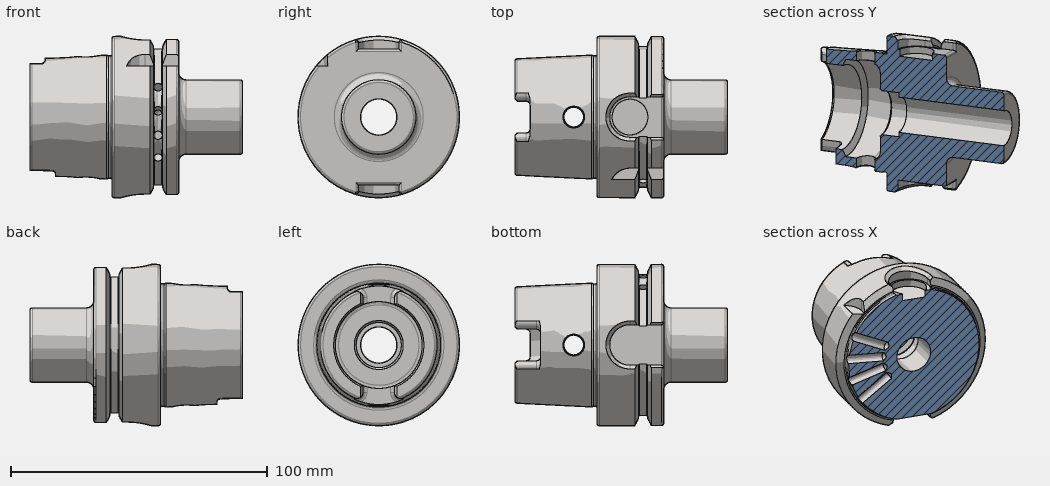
import cadquery as cq
import math

taper_end_x = 30.0
relief_start_x = 30.6
face_x = 32.0
collar_end_x = 58.1
total_length = 83.0

taper_end_radius = 24.195
taper_slope = 1 / 20
shank_radius = taper_end_radius - taper_slope * taper_end_x
relief_radius = 23.9
relief_fillet = 0.7
relief_face_depth = 0.2
relief_face_radius = 25.4
collar_radius = 31.5
neck_radius = 14.5
neck_fillet = 2.8
edge_round = 1.0

groove_x = 50.01
groove_width = 3.5
groove_radius = 27.55
groove_mouth_width = 6.5
groove_flank_radius = 28.6
groove_corner = 0.4

bore_radius = 16.9
bore_chamfer = 0.7
bore_chamfer_length = 1.0
shoulder_x = 12.95
undercut_radius = 19.6
undercut_step_length = 1.5
bore_floor_x = 29.2
bore_floor_fillet = 3.9
counterbore_radius = 8.8
counterbore_chamfer = 0.75
counterbore_end_x = 37.35
through_radius = 7.01

shank_hole_x = 23.0
shank_hole_radius = 3.8
shank_hole_chamfer = 0.4

drive_slot_half_width = 6.15
drive_slot_flare = 2.3
drive_slot_corner = 1.5
drive_slot_lead = 1.0
top_drive_slot_depth = 5.935
bottom_drive_slot_depth = 10.0

keyway_center_x = 44.9
keyway_half_width = 7.9
keyway_floor_z = 26.52
keyway_front_chamfer = 1.5
keyway_rear_chamfer = 1.0
pocket_radius = 7.0
pocket_depth = 2.7

notch_wall_y = -19.9
notch_floor_z = 19.9

drill_radius = 1.7
drill_depth = 14.9
drill_tip_angle = 118.0
drill_angles = [25, 5, -15, -35]


def revolve_about_x(profile):
    return profile.close().revolve(360, (0, 0, 0), (1, 0, 0))


def collar_segment(start_x, end_x, chamfer):
    """A length of collar with both keyways cut and their outer edges chamfered."""
    length = end_x - start_x
    segment = cq.Workplane("YZ").workplane(offset=start_x).circle(collar_radius).extrude(length)
    for side in (1, -1):
        segment = segment.cut(round_ended_slot(0, side * keyway_floor_z, side * collar_radius))
    rim_z = (keyway_floor_z + collar_radius) / 2 + 0.8
    for side in (1, -1):
        near, far = sorted((side * rim_z, side * (collar_radius + 0.8)))
        rim = cq.selectors.BoxSelector(
            (start_x + 0.1, -keyway_half_width - 0.8, near), (end_x - 0.1, keyway_half_width + 0.8, far)
        )
        segment = segment.edges(rim).chamfer(chamfer)
    return segment


def round_ended_slot(center_y, base_z, height):
    """Cutter along X with a half-round front end, running out past the rear face of the collar."""
    far_y = center_y + keyway_half_width
    near_y = center_y - keyway_half_width
    front_x = keyway_center_x - keyway_half_width
    profile = cq.Workplane("XY").workplane(offset=base_z).moveTo(keyway_center_x, near_y)
    profile = profile.lineTo(collar_end_x + 0.8, near_y).lineTo(collar_end_x + 0.8, far_y)
    profile = profile.lineTo(keyway_center_x, far_y)
    profile = profile.threePointArc((front_x, center_y), (keyway_center_x, near_y))
    return profile.close().extrude(height)


def make_collar():
    front = collar_segment(face_x, groove_x, keyway_front_chamfer).faces("<X").edges().fillet(edge_round)
    rear = collar_segment(groove_x, collar_end_x, keyway_rear_chamfer)
    rear = rear.faces(">X").edges().fillet(edge_round)
    return front.union(rear)


def make_groove():
    half_width = groove_width / 2
    half_mouth = groove_mouth_width / 2
    ring = cq.Workplane("XY").moveTo(groove_x - half_mouth, collar_radius)
    ring = ring.lineTo(groove_x - half_width, groove_flank_radius)
    ring = ring.lineTo(groove_x - half_width, groove_radius + groove_corner)
    ring = ring.radiusArc((groove_x - half_width + groove_corner, groove_radius), -groove_corner)
    ring = ring.lineTo(groove_x + half_width - groove_corner, groove_radius)
    ring = ring.radiusArc((groove_x + half_width, groove_radius + groove_corner), -groove_corner)
    ring = ring.lineTo(groove_x + half_width, groove_flank_radius)
    ring = ring.lineTo(groove_x + half_mouth, collar_radius)
    ring = ring.lineTo(groove_x + half_mouth, collar_radius + 0.8)
    ring = ring.lineTo(groove_x - half_mouth, collar_radius + 0.8)
    return revolve_about_x(ring)


def make_shank():
    """Tapered shank with a chamfered cross hole, solid inside until the bore is cut."""
    relief_floor_x = face_x + relief_face_depth
    profile = cq.Workplane("XY").moveTo(0, 0).lineTo(0, shank_radius)
    profile = profile.lineTo(taper_end_x, taper_end_radius).lineTo(relief_start_x, relief_radius)
    profile = profile.lineTo(relief_floor_x - relief_fillet, relief_radius)
    profile = profile.lineTo(face_x, relief_radius + relief_fillet).lineTo(face_x, 0)
    shank = revolve_about_x(profile).faces("<X").edges().fillet(edge_round)
    hole = cq.Workplane("XY").center(shank_hole_x, 0).circle(shank_hole_radius)
    shank = shank.cut(hole.extrude(collar_radius, both=True))
    for side in (1, -1):
        near, far = sorted((side * bore_radius, side * collar_radius))
        mouth = cq.selectors.BoxSelector(
            (shank_hole_x - shank_hole_radius, -shank_hole_radius, near),
            (shank_hole_x + shank_hole_radius, shank_hole_radius, far),
        )
        shank = shank.edges(mouth).chamfer(shank_hole_chamfer)
    return shank


def make_relief():
    """Rounded undercut in the corner between shank and collar, fading out across the collar face."""
    floor_x = face_x + relief_face_depth
    profile = cq.Workplane("XY").moveTo(floor_x - relief_fillet, relief_radius)
    profile = profile.radiusArc((floor_x, relief_radius + relief_fillet), -relief_fillet)
    profile = profile.lineTo(face_x, relief_face_radius)
    profile = profile.lineTo(floor_x - relief_fillet, relief_face_radius)
    return revolve_about_x(profile)


def make_neck():
    profile = cq.Workplane("XY").moveTo(collar_end_x, 0)
    profile = profile.lineTo(collar_end_x, neck_radius + neck_fillet)
    profile = profile.radiusArc((collar_end_x + neck_fillet, neck_radius), -neck_fillet)
    profile = profile.lineTo(total_length, neck_radius).lineTo(total_length, 0)
    return revolve_about_x(profile).faces(">X").edges().fillet(edge_round)


def make_bore():
    profile = cq.Workplane("XY").moveTo(0, 0).lineTo(0, bore_radius + bore_chamfer)
    profile = profile.lineTo(bore_chamfer_length, bore_radius).lineTo(shoulder_x, bore_radius)
    profile = profile.lineTo(shoulder_x + undercut_step_length, undercut_radius)
    profile = profile.lineTo(bore_floor_x - bore_floor_fillet, undercut_radius)
    profile = profile.radiusArc((bore_floor_x, undercut_radius - bore_floor_fillet), bore_floor_fillet)
    profile = profile.lineTo(bore_floor_x, counterbore_radius + counterbore_chamfer)
    profile = profile.lineTo(bore_floor_x + counterbore_chamfer, counterbore_radius)
    profile = profile.lineTo(counterbore_end_x, counterbore_radius).lineTo(counterbore_end_x, through_radius)
    profile = profile.lineTo(total_length, through_radius).lineTo(total_length, 0)
    return revolve_about_x(profile)


def make_drive_slot(depth):
    """Slot on the +Z side whose walls flare outward in a round that meets the shank surface."""
    flare_y = drive_slot_half_width + drive_slot_flare
    center_distance = shank_radius - drive_slot_flare
    flare_z = math.sqrt(center_distance**2 - flare_y**2)
    tangent_y = flare_y * shank_radius / center_distance
    tangent_z = flare_z * shank_radius / center_distance
    inner_z = bore_radius / 2
    top_z = collar_radius
    profile = cq.Workplane("YZ").moveTo(drive_slot_half_width, inner_z)
    profile = profile.lineTo(drive_slot_half_width, flare_z)
    profile = profile.radiusArc((tangent_y, tangent_z), drive_slot_flare)
    profile = profile.lineTo(tangent_y, top_z).lineTo(-tangent_y, top_z).lineTo(-tangent_y, tangent_z)
    profile = profile.radiusArc((-drive_slot_half_width, flare_z), drive_slot_flare)
    profile = profile.lineTo(-drive_slot_half_width, inner_z).close()
    slot = profile.extrude(depth)
    wall_edges = cq.selectors.BoxSelector(
        (depth - 0.1, -tangent_y, inner_z + 0.1), (depth + 0.1, tangent_y, tangent_z)
    )
    slot = slot.edges(wall_edges).fillet(drive_slot_corner)
    lead_y = drive_slot_half_width + drive_slot_lead
    lead = cq.Workplane("XY").workplane(offset=inner_z).moveTo(0, lead_y)
    lead = lead.lineTo(drive_slot_lead, drive_slot_half_width)
    lead = lead.lineTo(drive_slot_lead, -drive_slot_half_width).lineTo(0, -lead_y).close()
    return slot.union(lead.extrude(top_z - inner_z))


def make_notch():
    return round_ended_slot(notch_wall_y - keyway_half_width, notch_floor_z, collar_radius)


def make_drill(angle):
    """Pointed hole aimed at the axis, turned upward from -Y by the given angle."""
    bottom = groove_radius - drill_depth
    tip = bottom - drill_radius / math.tan(math.radians(drill_tip_angle / 2))
    profile = cq.Workplane("XY").moveTo(groove_x, -tip).lineTo(groove_x + drill_radius, -bottom)
    profile = profile.lineTo(groove_x + drill_radius, -collar_radius).lineTo(groove_x, -collar_radius).close()
    drill = profile.revolve(360, (groove_x, 0, 0), (groove_x, 1, 0))
    return drill.rotate((0, 0, 0), (1, 0, 0), -angle)


result = make_shank().union(make_collar().cut(make_groove())).union(make_neck())
result = result.cut(make_relief())
result = result.cut(make_bore())
result = result.cut(make_drive_slot(top_drive_slot_depth))
result = result.cut(make_drive_slot(bottom_drive_slot_depth).rotate((0, 0, 0), (1, 0, 0), 180))
result = result.cut(make_notch())
pocket_plane = cq.Workplane("XY").workplane(offset=keyway_floor_z - pocket_depth)
result = result.cut(pocket_plane.center(keyway_center_x, 0).circle(pocket_radius).extrude(pocket_depth))
for drill_angle in drill_angles:
    result = result.cut(make_drill(drill_angle))